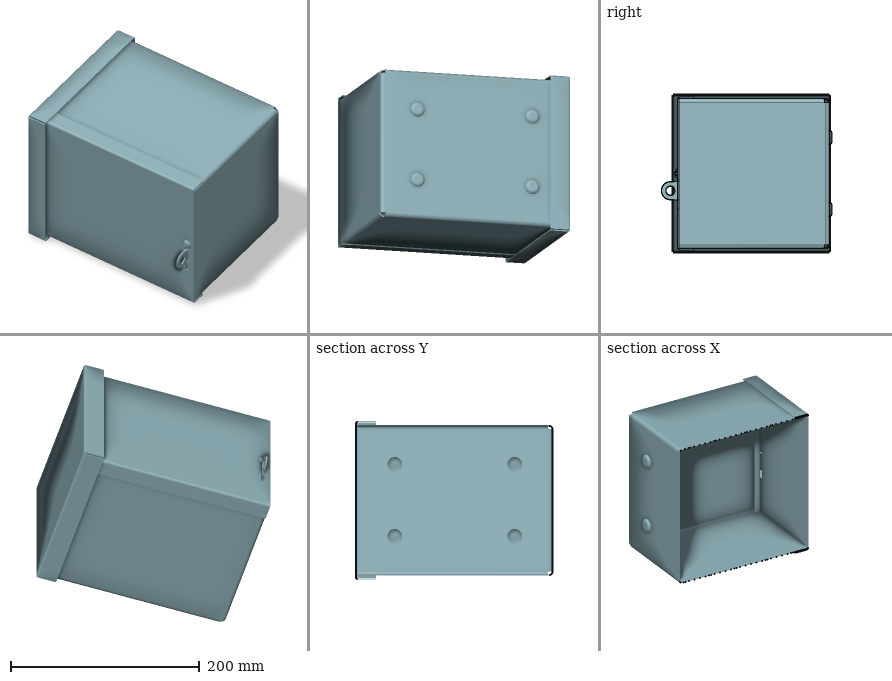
import cadquery as cq
import math

SHEET = 1.3
LENGTH = 209.5

CAP_SIDE = 168.3
CAP_DEPTH = 22.2
CAP_BEND = 2.5
CAP_CORNER = 1.7

COVER_Y = 6.0
COVER_Z_GAP = 3.1
COVER_HALF = CAP_SIDE / 2 - COVER_Z_GAP
COVER_FLANGE = 17.5
COVER_BEND = 2.5

BOX_START = CAP_BEND
BOX_FRONT = COVER_Y + SHEET
BOX_BACK = CAP_SIDE - SHEET
BOX_HALF = COVER_HALF - SHEET
BOX_BEND = 4.2
BEND_RELIEF = 5.2
LIP_START = 198.0
LIP_RETURN = 8.4

PAD_BASE_RADIUS = 7.8
PAD_TOP_RADIUS = 4.0
PAD_HEIGHT = 3.0
PAD_FIRST_X = 42.1
PAD_PITCH_X = 127.0
PAD_PITCH_Z = 76.3

SLOT_LEFT = 198.7
SLOT_WIDTH = 4.2
SLOT_LENGTH = 31.5
SLOT_TOP = -6.3
HASP_X = 199.0
HASP_THICKNESS = 1.5
HASP_RADIUS = 9.6
HASP_HOLE = 9.5
HASP_REACH = 11.1
HASP_Z = -18.2

SCREW_X = 201.4
HEAD_DIAMETER = 9.8
HEAD_HEIGHT = 2.7
SHANK_DIAMETER = 3.8
SHANK_LENGTH = 6.3
CROSS_SPAN = 5.5
CROSS_WIDTH = 1.0
CROSS_DEPTH = 1.7


def block(x, y, z):
    """Box spanning the given (low, high) ranges."""
    return (
        cq.Workplane("XY")
        .box(x[1] - x[0], y[1] - y[0], z[1] - z[0], centered=False)
        .translate((x[0], y[0], z[0]))
    )


def both_ways(half):
    return (-half, half)


def y_cylinder(x, z, diameter, y_start, y_end):
    """Cylinder along Y between two depths."""
    cylinder = cq.Solid.makeCylinder(
        diameter / 2, y_end - y_start, cq.Vector(x, y_start, z), cq.Vector(0, 1, 0)
    )
    return cq.Workplane(obj=cylinder)


def make_end_cap():
    half = CAP_SIDE / 2
    cap = block((0, CAP_DEPTH), (0, CAP_SIDE), both_ways(half))
    cap = cap.faces("<X").edges().fillet(CAP_BEND)
    hollow = block((SHEET, CAP_DEPTH), (SHEET, CAP_SIDE - SHEET), both_ways(half - SHEET))
    hollow = hollow.faces("<X").edges().fillet(CAP_BEND - SHEET)
    cap = cap.cut(hollow)
    for y in (0, CAP_SIDE - CAP_CORNER):
        for z in (-half, half - CAP_CORNER):
            cap = cap.cut(block((0, CAP_DEPTH), (y, y + CAP_CORNER), (z, z + CAP_CORNER)))
    return cap


def make_cover():
    flange_end = COVER_Y + COVER_FLANGE
    cover = block((SHEET, LENGTH), (COVER_Y, flange_end), both_ways(COVER_HALF))
    cover = cover.faces("<Y").edges("|X").fillet(COVER_BEND)
    hollow = block((SHEET, LENGTH), (BOX_FRONT, flange_end), both_ways(COVER_HALF - SHEET))
    cover = cover.cut(hollow)
    slot = block(
        (SLOT_LEFT, SLOT_LEFT + SLOT_WIDTH),
        (COVER_Y, BOX_FRONT),
        (SLOT_TOP - SLOT_LENGTH, SLOT_TOP),
    )
    return cover.cut(slot).cut(y_cylinder(SCREW_X, 0, SHANK_DIAMETER, COVER_Y, BOX_FRONT))


def make_pad(x, z, base_y):
    """Rounded flat-topped emboss rising toward +Y from base_y."""
    run = PAD_BASE_RADIUS - PAD_TOP_RADIUS
    arc_radius = (run**2 + PAD_HEIGHT**2) / (2 * PAD_HEIGHT)
    half_angle = math.atan2(PAD_HEIGHT, run)
    arc_middle = (
        PAD_TOP_RADIUS + arc_radius * math.sin(half_angle),
        PAD_HEIGHT - arc_radius * (1 - math.cos(half_angle)),
    )
    return (
        cq.Workplane("XY")
        .lineTo(PAD_BASE_RADIUS, 0)
        .threePointArc(arc_middle, (PAD_TOP_RADIUS, PAD_HEIGHT))
        .lineTo(0, PAD_HEIGHT)
        .close()
        .revolve(360, (0, 0), (0, 1))
        .translate((x, base_y, z))
    )


def make_lip():
    """Front lip at the +X end with its edge folded back into the box."""
    lip = block(
        (LIP_START, LENGTH), (BOX_FRONT, BOX_FRONT + LIP_RETURN), both_ways(BOX_HALF - BOX_BEND)
    )
    lip = lip.edges("|Z and <X and <Y").fillet(BOX_BEND)
    inside = block(
        (LIP_START + SHEET, LENGTH - SHEET),
        (BOX_FRONT + SHEET, BOX_FRONT + LIP_RETURN),
        both_ways(BOX_HALF),
    )
    inside = inside.edges("|Z and <X and <Y").fillet(BOX_BEND - SHEET)
    lip = lip.cut(inside)
    screw_hole = y_cylinder(SCREW_X, 0, SHANK_DIAMETER, BOX_FRONT, BOX_FRONT + SHANK_LENGTH)
    return lip.cut(screw_hole)


def bent_block(x, y, half, bend):
    """Block with its +Y and +X sides rounded into the Z sides and into each other."""
    solid = block(x, y, both_ways(half))
    return solid.edges("(>Y and |X) or (>X and |Y) or (>X and >Y)").fillet(bend)


def make_box():
    box = bent_block((BOX_START, LENGTH), (BOX_FRONT, BOX_BACK), BOX_HALF, BOX_BEND)
    hollow = bent_block(
        (BOX_START, LENGTH - SHEET),
        (BOX_FRONT, BOX_BACK - SHEET),
        BOX_HALF - SHEET,
        BOX_BEND - SHEET,
    )
    box = box.cut(hollow)
    for z in (-BOX_HALF, BOX_HALF - BOX_BEND):
        relief = block(
            (LENGTH - BEND_RELIEF, LENGTH), (BOX_BACK - BEND_RELIEF, BOX_BACK), (z, z + BOX_BEND)
        )
        box = box.cut(relief)
    box = box.union(make_lip())
    for x in (PAD_FIRST_X, PAD_FIRST_X + PAD_PITCH_X):
        for z in both_ways(PAD_PITCH_Z / 2):
            box = box.union(make_pad(x, z, BOX_BACK))
            box = box.cut(make_pad(x, z, BOX_BACK - SHEET))
    return box


def make_hasp():
    """Padlock eye standing out through the slot, with a foot resting on the box lip."""
    center_y = HASP_RADIUS - HASP_REACH
    z_range = (HASP_Z - HASP_RADIUS, HASP_Z + HASP_RADIUS)
    axis = (cq.Vector(HASP_X, center_y, HASP_Z), cq.Vector(1, 0, 0))
    eye = cq.Workplane(obj=cq.Solid.makeCylinder(HASP_RADIUS, HASP_THICKNESS, *axis))
    hole = cq.Workplane(obj=cq.Solid.makeCylinder(HASP_HOLE / 2, HASP_THICKNESS, *axis))
    beyond_lip = block(
        (HASP_X, HASP_X + HASP_THICKNESS), (BOX_FRONT, BOX_FRONT + HASP_RADIUS), z_range
    )
    neck = block((HASP_X, HASP_X + HASP_THICKNESS), (center_y, BOX_FRONT), z_range)
    foot = block((HASP_X, SLOT_LEFT + SLOT_WIDTH), (COVER_Y, BOX_FRONT), z_range)
    return eye.cut(beyond_lip).union(neck).union(foot).cut(hole)


def make_screw():
    """Domed cross-recess screw on the cover, its shank through cover and lip."""
    radius = HEAD_DIAMETER / 2
    dome_radius = (radius**2 + HEAD_HEIGHT**2) / (2 * HEAD_HEIGHT)
    top_y = COVER_Y - HEAD_HEIGHT
    dome = cq.Workplane("XY").sphere(dome_radius).translate((SCREW_X, top_y + dome_radius, 0))
    head = y_cylinder(SCREW_X, 0, HEAD_DIAMETER, top_y, COVER_Y).intersect(dome)
    arm = block(both_ways(CROSS_SPAN / 2), (top_y, top_y + CROSS_DEPTH), both_ways(CROSS_WIDTH / 2))
    for angle in (45, 135):
        head = head.cut(arm.rotate((0, 0, 0), (0, 1, 0), angle).translate((SCREW_X, 0, 0)))
    shank = y_cylinder(SCREW_X, 0, SHANK_DIAMETER, COVER_Y, BOX_FRONT + SHANK_LENGTH)
    return head.union(shank)


end_cap = make_end_cap()
cover = make_cover()
box = make_box()
hasp = make_hasp()
screw = make_screw()

result = cq.Compound.makeCompound(
    [end_cap.val(), cover.val(), box.val(), hasp.val(), screw.val()]
)